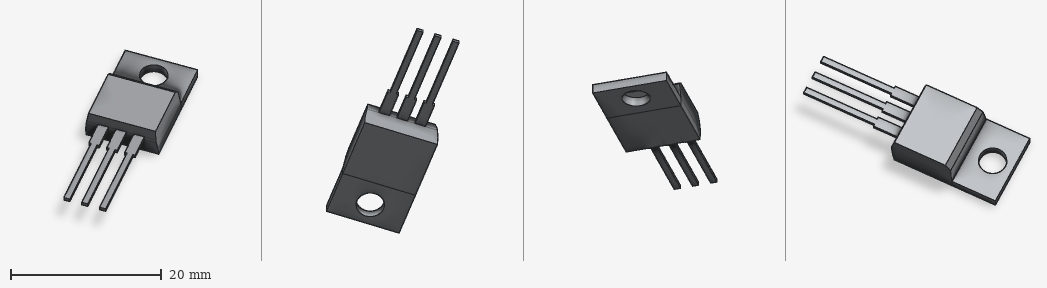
import cadquery as cq
import math

total_length = 29.5
package_width = 10.27
package_height = 4.45

tab_length = 6.4
tab_thickness = 1.33
hole_diameter = 3.75
hole_inset = 2.95

lead_count = 3
lead_pitch = 2.55
lead_bottom = 2.7
lead_thickness = 0.5
lead_width = 0.85
shoulder_width = 1.48
shoulder_end = 19.03

ledge_width = 0.1
housing_end = 15.5
side_draft = 7.0
lower_end_draft = 10.0
upper_end_draft = 15.0
bevel_start_height = 3.75
bevel_length = 0.83


def draft_inset(height, angle):
    """Horizontal inset of a face drafted by angle degrees over height."""
    return height * math.tan(math.radians(angle))


def make_tab():
    """Flat plate with a mounting hole, butted against the housing."""
    plate = cq.Workplane("XY").box(
        package_width, tab_length, tab_thickness, centered=(True, False, False)
    ).translate((0, -tab_length, 0))
    hole = (
        cq.Workplane("XY")
        .center(0, -hole_inset)
        .circle(hole_diameter / 2)
        .extrude(tab_thickness)
    )
    return plate.cut(hole)


def make_housing():
    """Ledged and bevelled side profile, trimmed by the drafted long sides."""
    lead_top = lead_bottom + lead_thickness
    upper_start = tab_length + ledge_width
    bevel_start = upper_start + draft_inset(bevel_start_height - tab_thickness, side_draft)
    bottom_end = housing_end - draft_inset(lead_bottom, lower_end_draft)
    top_end = housing_end - draft_inset(package_height - lead_top, upper_end_draft)
    block = (
        cq.Workplane("YZ")
        .polyline([
            (-tab_length, 0),
            (-tab_length, tab_thickness),
            (-upper_start, tab_thickness),
            (-bevel_start, bevel_start_height),
            (-bevel_start - bevel_length, package_height),
            (-top_end, package_height),
            (-housing_end, lead_top),
            (-housing_end, lead_bottom),
            (-bottom_end, 0),
        ])
        .close()
        .extrude(package_width / 2, both=True)
    )
    half_width = package_width / 2
    top_half_width = half_width - draft_inset(package_height - tab_thickness, side_draft)
    drafted_sides = (
        cq.Workplane("XZ")
        .polyline([
            (-half_width, 0),
            (half_width, 0),
            (half_width, tab_thickness),
            (top_half_width, package_height),
            (-top_half_width, package_height),
            (-half_width, tab_thickness),
        ])
        .close()
        .extrude(housing_end)
    )
    return block.intersect(drafted_sides)


def make_lead(x):
    """Straight lead with a wide shoulder next to the housing."""
    return (
        cq.Workplane("XY", origin=(x, 0, lead_bottom))
        .polyline([
            (-shoulder_width / 2, -housing_end),
            (shoulder_width / 2, -housing_end),
            (shoulder_width / 2, -shoulder_end),
            (lead_width / 2, -shoulder_end),
            (lead_width / 2, -total_length),
            (-lead_width / 2, -total_length),
            (-lead_width / 2, -shoulder_end),
            (-shoulder_width / 2, -shoulder_end),
        ])
        .close()
        .extrude(lead_thickness)
    )


tab = make_tab()
housing = make_housing()
leads = [make_lead((i - (lead_count - 1) / 2) * lead_pitch) for i in range(lead_count)]

result = cq.Compound.makeCompound([tab.val(), housing.val(), *[lead.val() for lead in leads]])